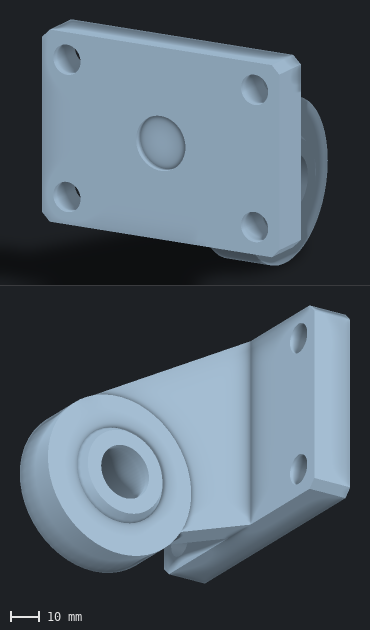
import cadquery as cq
import math

PLATE_WIDTH = 96.0
PLATE_HEIGHT = 70.0
PLATE_THICKNESS = 15.0
CORNER_CHAMFER = 3.0

BOLT_HOLE_DIAMETER = 11.0
BOLT_HOLE_INSET = 10.0
RECESS_DIAMETER = 20.0
RECESS_DEPTH = 3.0

OVERALL_LENGTH = 101.0
EYE_RADIUS = 30.0
EYE_WIDTH = 18.0
EYE_HEIGHT_ABOVE_PLATE_BOTTOM = 4.9
EYE_Y = OVERALL_LENGTH - EYE_RADIUS
EYE_Z = -PLATE_HEIGHT / 2 + EYE_HEIGHT_ABOVE_PLATE_BOTTOM

WEB_WIDTH = 14.5
WEB_LOWER_EDGE_DROP = 23.6

BALL_RADIUS = 20.0
BALL_WIDTH = 25.0
BALL_BORE_DIAMETER = 20.0


def disc_along_x(radius, width):
    """Cylinder on the eye axis, symmetric about X = 0."""
    start_plane = cq.Workplane("YZ", origin=(-width / 2, EYE_Y, EYE_Z))
    return start_plane.circle(radius).extrude(width)


def sphere_at_eye():
    """Sphere shared by the ball and its seat, with its poles on the eye axis."""
    return (
        cq.Workplane("XY")
        .sphere(BALL_RADIUS)
        .rotate((0, 0, 0), (0, 1, 0), 90)
        .translate((0, EYE_Y, EYE_Z))
    )


def upper_tangent_point(start_y, start_z):
    """Point where a line from the start touches the upper side of the eye."""
    to_start_y = start_y - EYE_Y
    to_start_z = start_z - EYE_Z
    distance = math.hypot(to_start_y, to_start_z)
    angle = math.atan2(to_start_z, to_start_y) - math.acos(EYE_RADIUS / distance)
    return EYE_Y + EYE_RADIUS * math.cos(angle), EYE_Z + EYE_RADIUS * math.sin(angle)


def make_plate():
    """Flat plate with chamfered corners, four bolt holes and a round recess in front."""
    plate = (
        cq.Workplane("XY")
        .box(PLATE_WIDTH, PLATE_THICKNESS, PLATE_HEIGHT)
        .translate((0, PLATE_THICKNESS / 2, 0))
        .edges("|Y")
        .chamfer(CORNER_CHAMFER)
    )
    bolt_holes = (
        cq.Workplane("XZ")
        .rarray(PLATE_WIDTH - 2 * BOLT_HOLE_INSET, PLATE_HEIGHT - 2 * BOLT_HOLE_INSET, 2, 2)
        .circle(BOLT_HOLE_DIAMETER / 2)
        .extrude(-PLATE_THICKNESS)
    )
    recess = cq.Workplane("XZ").circle(RECESS_DIAMETER / 2).extrude(-RECESS_DEPTH)
    return plate.cut(bolt_holes).cut(recess)


def make_web():
    """Tapering web: tangent to the eye on top, running into the eye below."""
    plate_top = (PLATE_THICKNESS, PLATE_HEIGHT / 2)
    plate_bottom = (PLATE_THICKNESS, -PLATE_HEIGHT / 2)
    outline = [
        plate_bottom,
        plate_top,
        upper_tangent_point(*plate_top),
        (EYE_Y, EYE_Z),
        (EYE_Y, EYE_Z - WEB_LOWER_EDGE_DROP),
    ]
    start_plane = cq.Workplane("YZ", origin=(-WEB_WIDTH / 2, 0, 0))
    return start_plane.polyline(outline).close().extrude(WEB_WIDTH)


def make_housing():
    """Plate, web and eye as one solid with a spherical seat for the ball."""
    eye = disc_along_x(EYE_RADIUS, EYE_WIDTH)
    return make_plate().union(make_web()).union(eye).cut(sphere_at_eye())


def make_ball():
    """Sphere with flat ends and a through bore."""
    blank = sphere_at_eye().intersect(disc_along_x(EYE_RADIUS, BALL_WIDTH))
    return blank.cut(disc_along_x(BALL_BORE_DIAMETER / 2, BALL_WIDTH))


housing = make_housing()
ball = make_ball()
result = cq.Compound.makeCompound([housing.solids().val(), ball.solids().val()])